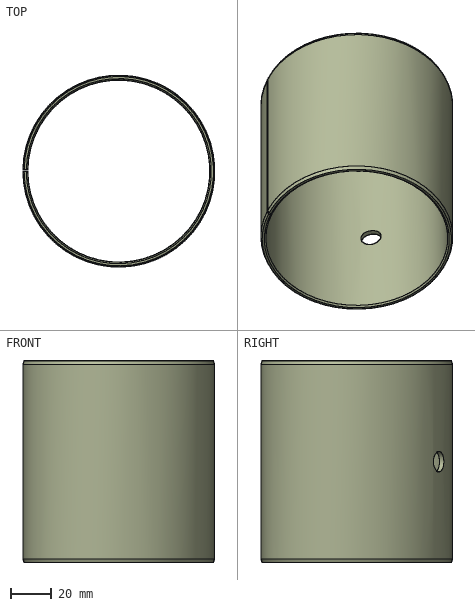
import cadquery as cq
import math

outer_diameter = 95.0
inner_diameter = 90.0
length = 100.0

outer_chamfer_length = 1.8
outer_chamfer_angle = 20.0
inner_chamfer = 0.8

slit_angle = 1.0

oil_hole_diameter = 10.0
oil_hole_angle = 59.0
oil_hole_height = length / 2

outer_radius = outer_diameter / 2
inner_radius = inner_diameter / 2
outer_chamfer_depth = outer_chamfer_length * math.tan(math.radians(outer_chamfer_angle))


def make_split_sleeve():
    """Revolve the chamfered wall section about Z from -X through -Y, leaving the slit open."""
    wall_section = [
        (-inner_radius - inner_chamfer, 0),
        (-outer_radius + outer_chamfer_depth, 0),
        (-outer_radius, outer_chamfer_length),
        (-outer_radius, length - outer_chamfer_length),
        (-outer_radius + outer_chamfer_depth, length),
        (-inner_radius - inner_chamfer, length),
        (-inner_radius, length - inner_chamfer),
        (-inner_radius, inner_chamfer),
    ]
    section = cq.Workplane("XZ").polyline(wall_section).close()
    return section.revolve(360 - slit_angle, (0, 0), (0, 1))


def make_oil_hole_cutter():
    """Radial cylinder reaching from the axis out past one wall."""
    return (
        cq.Workplane("YZ")
        .circle(oil_hole_diameter / 2)
        .extrude(outer_diameter)
        .rotate((0, 0, 0), (0, 0, 1), oil_hole_angle)
        .translate((0, 0, oil_hole_height))
    )


result = make_split_sleeve().cut(make_oil_hole_cutter())